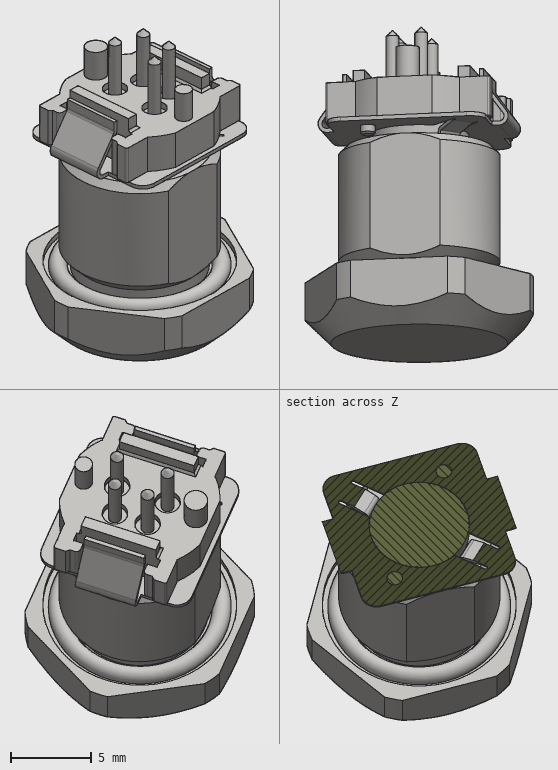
import cadquery as cq
import math

HEX_FLATS = 13.0
HEX_CORNER_R = 7.195
HEX_TOP_Z = 4.03
HEX_BOTTOM_R = 5.52
RECESS_R = 6.05
RECESS_FLOOR_Z = 3.65
NECK_R = 4.35
BODY_R = 5.06
BODY_FLATS = 9.1
BODY_TOP_Z = 12.47
BODY_BOTTOM_Z = 4.49
BODY_TOP_CHAMFER = 0.5

RING_OUTER_R = 5.72
RING_TUBE_R = 0.6
RING_TOP_Z = 4.25

PLATE_SIDE = 10.05
PLATE_CORNER_R = 1.01
PLATE_BOTTOM_Z = 13.3
SHEET = 0.25
PLATE_TOP_Z = PLATE_BOTTOM_Z + SHEET

ARM_WIDTH = 4.0
ARM_REACH_Y = 6.05
ARM_BEND_R = 0.58
ARM_TILT = 36.2
ARM_LEG_Y = 4.49
ARM_LEG_BEND_R = 0.34
ARM_TOP_Z = 16.95

TONGUE_DIRECTION = 45
TONGUE_WIDTH = 1.47
TONGUE_ROOT = 4.92
TONGUE_TIP = 3.22
TONGUE_SLOPE = 16
TONGUE_BEND_R = 0.12
RELIEF_WIDTH = 0.2
RELIEF_END = 5.15

BLOCK_TOP_Z = 16.08
BLOCK_HALF_Y = 5.22
BLOCK_HALF_X = 3.77
BLOCK_CORNER_R = 0.14
BLOCK_SIDE_X = 4.7
BLOCK_ROUND_R = 5.02
STEM_R = 3.12
NOTCH_EDGE_Y = 5.02
NOTCH_EDGE_X = 2.75
NOTCH_HALF_X = 2.15
NOTCH_FILLET = 0.28
SLOT_HALF_X = 2.8
SLOT_INNER_Y = 3.71
SLOT_OUTER_Y = 4.29
RAIL_HALF_X = 2.5
RAIL_INNER_Y = 2.98
RAIL_TOP_Z = 17.07
RAIL_FOOT = 0.15

STUB_PLACES = [(3.31, -2.62), (-3.31, 2.62)]
STUB_R = 0.466
STUB_BOTTOM_Z = 12.75
STUB_CHAMFER = 0.12

POST_X = 3.75
POST_TOP_Z = 18.1
LEFT_POST_R = 0.73
RIGHT_POST_R = 0.55
PIN_PLACES = [(-1.1, 1.49), (1.1, 1.49), (-1.69, -0.45), (1.69, -0.45)]
PIN_R = 0.407
PIN_TIP_Z = 19.85
WELL_R = 0.8
WELL_DEPTH = 0.45


def polar(center, radius, degrees):
    """Point at an angle on a circle around center."""
    angle = math.radians(degrees)
    return center[0] + radius * math.cos(angle), center[1] + radius * math.sin(angle)


def half_turn_pair(shape, first_turn=0):
    """Two copies of a shape around Z, half a turn apart."""
    return [shape.rotate((0, 0, 0), (0, 0, 1), first_turn + turn) for turn in (0, 180)]


def cylinder(x, y, radius, bottom, top):
    return cq.Workplane("XY", origin=(x, y, bottom)).circle(radius).extrude(top - bottom)


def box(x_range, y_range, z_range):
    sizes = [high - low for low, high in (x_range, y_range, z_range)]
    corner = (x_range[0], y_range[0], z_range[0])
    return cq.Workplane("XY", origin=corner).box(*sizes, centered=False)


def make_housing():
    corner_diameter = HEX_FLATS / math.cos(math.radians(30))
    hexagon = cq.Workplane("XY").polygon(6, corner_diameter).extrude(HEX_TOP_Z)
    hexagon = hexagon.rotate((0, 0, 0), (0, 0, 1), 30)
    trim = cylinder(0, 0, HEX_CORNER_R, 0, HEX_TOP_Z)
    trim = trim.faces("<Z").chamfer(HEX_CORNER_R - HEX_BOTTOM_R)
    flange = hexagon.intersect(trim)

    recess = cylinder(0, 0, RECESS_R, RECESS_FLOOR_Z, HEX_TOP_Z)
    neck = cylinder(0, 0, NECK_R, 0, BODY_BOTTOM_Z)

    body = cylinder(0, 0, BODY_R, BODY_BOTTOM_Z, BODY_TOP_Z)
    body = body.faces("<Z").chamfer(BODY_R - NECK_R)
    body = body.faces(">Z").chamfer(BODY_TOP_CHAMFER)
    half_flats = BODY_FLATS / 2
    flats = box((-half_flats, half_flats), (-BODY_R, BODY_R), (0, BODY_TOP_Z))
    housing = flange.cut(recess).union(neck).union(body.intersect(flats))
    return housing.cut(make_sealing_ring())


def make_sealing_ring():
    ring_r = RING_OUTER_R - RING_TUBE_R
    profile = cq.Workplane("XZ").center(ring_r, RING_TOP_Z - RING_TUBE_R).circle(RING_TUBE_R)
    return profile.revolve(360, (-ring_r, 0), (-ring_r, 1))


def clip_arm():
    """Arm on the +Y side: out of the plate, round a bend, back up a slope and into a vertical leg."""
    bend = (ARM_REACH_Y - ARM_BEND_R, PLATE_BOTTOM_Z + ARM_BEND_R)
    slope_start = polar(bend, ARM_BEND_R, ARM_TILT)
    leg_bend_y = ARM_LEG_Y + ARM_LEG_BEND_R
    slope_end_y = polar((leg_bend_y, 0), ARM_LEG_BEND_R, 180 + ARM_TILT)[0]
    slope_rise = (slope_start[0] - slope_end_y) / math.tan(math.radians(ARM_TILT))
    leg_bend_z = slope_start[1] + slope_rise + ARM_LEG_BEND_R * math.sin(math.radians(ARM_TILT))
    leg_bend = (leg_bend_y, leg_bend_z)

    inner_bend_r = ARM_BEND_R - SHEET
    inner_leg_r = ARM_LEG_BEND_R + SHEET
    bend_middle = (ARM_TILT - 90) / 2
    leg_middle = 180 + ARM_TILT / 2
    root_y = PLATE_SIDE / 2
    profile = (
        cq.Workplane("YZ", origin=(-ARM_WIDTH / 2, 0, 0))
        .moveTo(root_y, PLATE_BOTTOM_Z)
        .lineTo(bend[0], PLATE_BOTTOM_Z)
        .threePointArc(polar(bend, ARM_BEND_R, bend_middle), slope_start)
        .lineTo(*polar(leg_bend, ARM_LEG_BEND_R, 180 + ARM_TILT))
        .threePointArc(polar(leg_bend, ARM_LEG_BEND_R, leg_middle), (ARM_LEG_Y, leg_bend_z))
        .lineTo(ARM_LEG_Y, ARM_TOP_Z)
        .lineTo(ARM_LEG_Y - SHEET, ARM_TOP_Z)
        .lineTo(ARM_LEG_Y - SHEET, leg_bend_z)
        .threePointArc(
            polar(leg_bend, inner_leg_r, leg_middle),
            polar(leg_bend, inner_leg_r, 180 + ARM_TILT),
        )
        .lineTo(*polar(bend, inner_bend_r, ARM_TILT))
        .threePointArc(polar(bend, inner_bend_r, bend_middle), (bend[0], PLATE_TOP_Z))
        .lineTo(root_y, PLATE_TOP_Z)
        .close()
    )
    return profile.extrude(ARM_WIDTH)


def contact_tongue():
    """Tongue along +X: slopes down from its root towards the stem and turns straight down."""
    slope = math.radians(TONGUE_SLOPE)
    outer_r = TONGUE_BEND_R + SHEET
    bend_x = TONGUE_TIP + outer_r
    under_end_x = bend_x + TONGUE_BEND_R * math.cos(math.radians(90 + TONGUE_SLOPE))
    under_end_z = PLATE_BOTTOM_Z - (TONGUE_ROOT - under_end_x) * math.tan(slope)
    bend = (bend_x, under_end_z - TONGUE_BEND_R * math.cos(slope))
    bend_start = 90 + TONGUE_SLOPE
    bend_middle = (bend_start + 180) / 2
    upper_start = polar(bend, outer_r, bend_start)
    upper_end_x = upper_start[0] + (PLATE_TOP_Z - upper_start[1]) / math.tan(slope)
    profile = (
        cq.Workplane("XZ", origin=(0, TONGUE_WIDTH / 2, 0))
        .moveTo(TONGUE_ROOT, PLATE_BOTTOM_Z)
        .lineTo(*polar(bend, TONGUE_BEND_R, bend_start))
        .threePointArc(polar(bend, TONGUE_BEND_R, bend_middle), (bend_x - TONGUE_BEND_R, bend[1]))
        .lineTo(bend_x - TONGUE_BEND_R, BODY_TOP_Z)
        .lineTo(TONGUE_TIP, BODY_TOP_Z)
        .lineTo(TONGUE_TIP, bend[1])
        .threePointArc(polar(bend, outer_r, bend_middle), upper_start)
        .lineTo(upper_end_x, PLATE_TOP_Z)
        .lineTo(TONGUE_ROOT, PLATE_TOP_Z)
        .close()
    )
    return profile.extrude(TONGUE_WIDTH)


def tongue_window():
    """Opening along +X that frees the tongue, with a relief slit on both sides of its root."""
    half_window = TONGUE_WIDTH / 2 + RELIEF_WIDTH
    sheet_z = (PLATE_BOTTOM_Z, PLATE_TOP_Z)
    window = box((0, TONGUE_ROOT), (-half_window, half_window), sheet_z)
    for side in (-1, 1):
        slit_y = side * (TONGUE_WIDTH + RELIEF_WIDTH) / 2
        slit_center = TONGUE_ROOT / 2 + RELIEF_END / 2
        slit = cq.Workplane("XY", origin=(slit_center, slit_y, PLATE_BOTTOM_Z))
        slit = slit.slot2D(RELIEF_END - TONGUE_ROOT + RELIEF_WIDTH, RELIEF_WIDTH).extrude(SHEET)
        window = window.union(slit)
    return window


def make_spring_clip():
    plate = cq.Workplane("XY", origin=(0, 0, PLATE_BOTTOM_Z)).rect(PLATE_SIDE, PLATE_SIDE)
    plate = plate.extrude(SHEET).edges("|Z").fillet(PLATE_CORNER_R)
    plate = plate.cut(cylinder(0, 0, STEM_R, PLATE_BOTTOM_Z, PLATE_TOP_Z))
    for x, y in STUB_PLACES:
        plate = plate.cut(cylinder(x, y, STUB_R, PLATE_BOTTOM_Z, PLATE_TOP_Z))

    for arm in half_turn_pair(clip_arm()):
        plate = plate.union(arm)
    for window in half_turn_pair(tongue_window(), TONGUE_DIRECTION):
        plate = plate.cut(window)
    for tongue in half_turn_pair(contact_tongue(), TONGUE_DIRECTION):
        plate = plate.union(tongue)
    return plate


def insulator_block():
    """Block with straight Y ends and rounded X sides that are cut flat."""
    height = (PLATE_TOP_Z, BLOCK_TOP_Z)
    disc = cylinder(0, 0, BLOCK_ROUND_R, *height)
    disc = disc.intersect(
        box((-BLOCK_SIDE_X, BLOCK_SIDE_X), (-BLOCK_ROUND_R, BLOCK_ROUND_R), height)
    )
    bar = box((-BLOCK_HALF_X, BLOCK_HALF_X), (-BLOCK_HALF_Y, BLOCK_HALF_Y), height)
    return disc.union(bar.edges("|Z").fillet(BLOCK_CORNER_R))


def arm_pocket():
    """Pocket on the +Y side: a stepped notch for the clip arm and a cross slot behind it."""
    height = (PLATE_TOP_Z, BLOCK_TOP_Z)
    edge_step = BLOCK_HALF_Y - NOTCH_EDGE_Y
    mouth = (
        cq.Workplane("XY", origin=(0, 0, PLATE_TOP_Z))
        .moveTo(-NOTCH_EDGE_X, NOTCH_EDGE_Y)
        .lineTo(NOTCH_EDGE_X, NOTCH_EDGE_Y)
        .lineTo(NOTCH_EDGE_X + edge_step, BLOCK_HALF_Y)
        .lineTo(-NOTCH_EDGE_X - edge_step, BLOCK_HALF_Y)
        .close()
        .extrude(BLOCK_TOP_Z - PLATE_TOP_Z)
    )
    notch = box((-NOTCH_HALF_X, NOTCH_HALF_X), (SLOT_INNER_Y, NOTCH_EDGE_Y), height)
    fillet_y = NOTCH_EDGE_Y - NOTCH_FILLET
    fillet_x = NOTCH_HALF_X + NOTCH_FILLET
    flare = box((-fillet_x, fillet_x), (fillet_y, NOTCH_EDGE_Y), height)
    for side in (-1, 1):
        flare = flare.cut(cylinder(side * fillet_x, fillet_y, NOTCH_FILLET, *height))
    slot = box((-SLOT_HALF_X, SLOT_HALF_X), (SLOT_INNER_Y, SLOT_OUTER_Y), height)
    return mouth.union(notch).union(flare).union(slot)


def latch_rail():
    """Rail along the inner edge of the +Y slot, with a bevelled foot on its other three sides."""
    rail = box((-RAIL_HALF_X, RAIL_HALF_X), (RAIL_INNER_Y, SLOT_INNER_Y), (BLOCK_TOP_Z, RAIL_TOP_Z))
    foot_half_x = RAIL_HALF_X + RAIL_FOOT
    foot_profile = (
        cq.Workplane("YZ", origin=(-foot_half_x, 0, 0))
        .moveTo(RAIL_INNER_Y - RAIL_FOOT, BLOCK_TOP_Z)
        .lineTo(RAIL_INNER_Y, BLOCK_TOP_Z + RAIL_FOOT)
        .lineTo(SLOT_INNER_Y, BLOCK_TOP_Z + RAIL_FOOT)
        .lineTo(SLOT_INNER_Y, BLOCK_TOP_Z)
        .close()
    )
    end_profile = (
        cq.Workplane("XZ", origin=(0, SLOT_INNER_Y, 0))
        .moveTo(-foot_half_x, BLOCK_TOP_Z)
        .lineTo(foot_half_x, BLOCK_TOP_Z)
        .lineTo(RAIL_HALF_X, BLOCK_TOP_Z + RAIL_FOOT)
        .lineTo(-RAIL_HALF_X, BLOCK_TOP_Z + RAIL_FOOT)
        .close()
    )
    foot = foot_profile.extrude(2 * foot_half_x).intersect(end_profile.extrude(SLOT_INNER_Y))
    return rail.union(foot)


def contact_pin(x, y):
    """Pin with a 90 degree point, standing on the floor of its well."""
    pin = cylinder(x, y, PIN_R, BLOCK_TOP_Z - WELL_DEPTH, PIN_TIP_Z - PIN_R)
    point = cq.Solid.makeCone(PIN_R, 0, PIN_R, pnt=cq.Vector(x, y, PIN_TIP_Z - PIN_R))
    return pin.union(cq.Workplane(point))


def make_insulator():
    insulator = insulator_block().union(cylinder(0, 0, STEM_R, BODY_TOP_Z, PLATE_TOP_Z))
    for pocket in half_turn_pair(arm_pocket()):
        insulator = insulator.cut(pocket)
    for rail in half_turn_pair(latch_rail()):
        insulator = insulator.union(rail)
    for x, y in STUB_PLACES:
        stub = cylinder(x, y, STUB_R, STUB_BOTTOM_Z, PLATE_TOP_Z)
        insulator = insulator.union(stub.faces("<Z").chamfer(STUB_CHAMFER))
    for x, radius in ((-POST_X, LEFT_POST_R), (POST_X, RIGHT_POST_R)):
        insulator = insulator.union(cylinder(x, 0, radius, BLOCK_TOP_Z, POST_TOP_Z))
    for x, y in PIN_PLACES:
        insulator = insulator.cut(cylinder(x, y, WELL_R, BLOCK_TOP_Z - WELL_DEPTH, BLOCK_TOP_Z))
        insulator = insulator.union(contact_pin(x, y))
    return insulator


housing = make_housing()
sealing_ring = make_sealing_ring()
spring_clip = make_spring_clip()
insulator = make_insulator()

result = cq.Compound.makeCompound(
    [housing.val(), sealing_ring.val(), spring_clip.val(), insulator.val()]
)